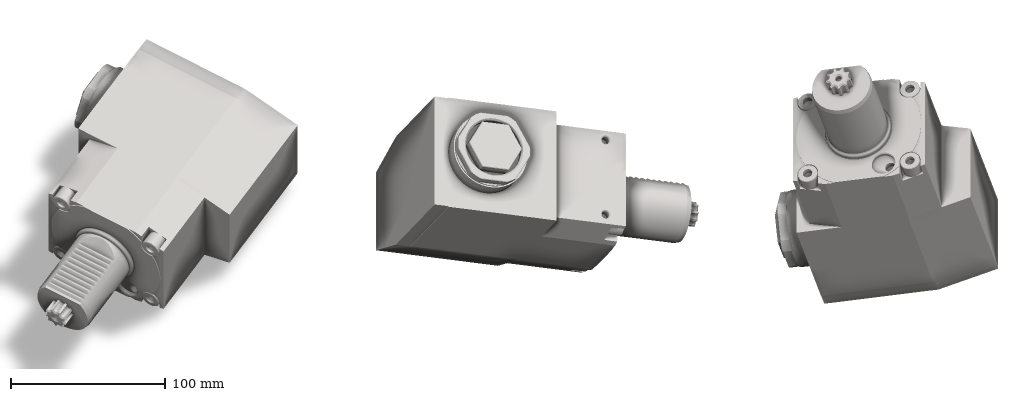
import cadquery as cq
import math


along_x = (1, 0, 0)
along_y = (0, 1, 0)
overall_length = 197.5
overall_width = 136.9

body_left = -52.5
body_right = 63.0
body_rear = 134.5
body_height = 76.0
half_height = body_height / 2
flange_length = 50.5
flange_half_width = 43.8
body_slope_start = 22.0
flange_slope_start = 22.5
slope_angle = 15
rear_strip_width = 9.7
rear_strip_drop = 0.4

face_disc_radius = 41.5
face_disc_height = 0.5
collar_recess_diameter, collar_recess_depth = 44.6, 1.0
port_x, port_z = 16.2, -27.6
port_diameter, port_depth = 15.2, 2
port_mouth_diameter = 16.4
duct_x, duct_z = 20.5, -29.8
duct_diameter, duct_depth = 7.0, 6

screw_x, screw_z = 34.0, 28.2
pocket_width, pocket_depth = 13.8, 8.9
head_diameter, head_chamfer = 13.0, 0.4
socket_diameter, socket_depth = 6.3, 4
socket_tip_depth = 1.8

side_hole_diameter, side_hole_depth = 5.0, 6
side_hole_mouth_diameter = 6.3
side_hole_y, side_hole_z = 13.8, 25.9

collar_diameter, collar_length, collar_round = 43.5, 3.4, 1.2
neck_diameter, neck_end = 38.7, 4.1
shank_diameter, shank_length = 40.0, 53.7
end_chamfer_length, end_chamfer_depth = 3.2, 0.8

valley_height, tooth_height = 14.2, 1.5
tooth_tip, tooth_count = 0.8, 10
first_tooth, last_tooth = 14.0, 50.0
tooth_pitch = (last_tooth - first_tooth) / (tooth_count - 1)
run_in_start = 5.1

spline_diameter, spline_tooth_count = 16.2, 9
spline_end = overall_length - body_rear
spline_groove_diameter, spline_groove_centre = 4.1, 8.5
spline_flare_diameter, spline_flare_length = 6, 1.0
spline_bore_diameter, spline_bore_depth = 4.1, 4
spline_bore_mouth_diameter = 6

spindle_y = 100.0
sleeve_diameter, sleeve_length = 50.5, 11.0
ring_diameter, ring_end = 49.0, 12.2
nut_flats, nut_corner_diameter, nut_end = 46.2, 49.4, 18.2
recess_diameter, recess_depth = 38.0, 5.0
recess_mouth_diameter = 40.0
hexagon_chamfer = 0.4
plug_flats = 31.5
plug_end = overall_width - (body_right - body_left)


def slope_z(x, slope_start):
    """Height at distance x from the shank axis of a side that slopes away from slope_start."""
    return half_height - (x - slope_start) * math.tan(math.radians(slope_angle))


def y_prism(profile, y_from, y_to):
    """Extrude an XZ outline between two Y positions."""
    return cq.Workplane("XZ", origin=(0, y_to, 0)).polyline(profile).close().extrude(y_to - y_from)


def y_cylinder(diameter, y_from, y_to, x=0, z=0):
    plane = cq.Workplane("XZ", origin=(x, y_to, z))
    return plane.circle(diameter / 2).extrude(y_to - y_from)


def cone(mouth_diameter, end_diameter, depth, mouth, direction):
    """Cone that narrows from its mouth point along a direction."""
    solid = cq.Solid.makeCone(
        mouth_diameter / 2, end_diameter / 2, depth, cq.Vector(*mouth), cq.Vector(*direction)
    )
    return cq.Workplane(solid)


def countersink(mouth_diameter, hole_diameter, mouth, direction):
    """45-degree cone that widens the mouth of a hole."""
    depth = (mouth_diameter - hole_diameter) / 2
    return cone(mouth_diameter, hole_diameter, depth, mouth, direction)


def spindle_plane(distance):
    """Plane across the spindle axis, at a distance outside the left wall, facing -X."""
    return cq.Workplane("YZ", origin=(body_left - distance, spindle_y, 0))


def hexagon(flats):
    """Circumscribed diameter of a hexagon from its width across flats."""
    return flats / math.cos(math.radians(30))


def mirrored(upper_right):
    """Complete an outline from its upper points by mirroring them about Z = 0."""
    return upper_right + [(x, -z) for x, z in reversed(upper_right)]


def make_housing():
    body_outline = mirrored([
        (body_left, half_height),
        (body_slope_start, half_height),
        (body_right, slope_z(body_right, body_slope_start)),
    ])
    flange_corner_z = slope_z(flange_half_width, flange_slope_start)
    flange_outline = mirrored([
        (-flange_half_width, flange_corner_z),
        (-flange_slope_start, half_height),
        (flange_slope_start, half_height),
        (flange_half_width, flange_corner_z),
    ])
    body = y_prism(body_outline, flange_length, body_rear)
    for side in (1, -1):
        strip = cq.Workplane("XY").box(
            body_right - body_left, rear_strip_width, rear_strip_drop
        ).translate((
            (body_left + body_right) / 2,
            body_rear - rear_strip_width / 2,
            side * (half_height - rear_strip_drop / 2),
        ))
        body = body.cut(strip)
    flange = y_prism(flange_outline, 0, flange_length)
    disc = y_cylinder(2 * face_disc_radius, -face_disc_height, 0)
    disc = disc.intersect(y_prism(flange_outline, -face_disc_height, 0))
    housing = body.union(flange).union(disc)

    housing = housing.cut(y_cylinder(collar_recess_diameter, -face_disc_height, collar_recess_depth))
    housing = housing.cut(y_cylinder(port_diameter, -face_disc_height, port_depth, port_x, port_z))
    housing = housing.cut(
        countersink(port_mouth_diameter, port_diameter, (port_x, -face_disc_height, port_z), along_y)
    )
    duct = y_cylinder(duct_diameter, 0, duct_depth, duct_x, duct_z)
    duct = duct.intersect(y_cylinder(port_diameter, 0, duct_depth, port_x, port_z))
    housing = housing.cut(duct)

    side_holes = (
        cq.Workplane("YZ", origin=(-flange_half_width, 0, 0))
        .pushPoints([(side_hole_y, side_hole_z), (side_hole_y, -side_hole_z)])
        .circle(side_hole_diameter / 2)
        .extrude(side_hole_depth)
    )
    housing = housing.cut(side_holes)
    for z in (side_hole_z, -side_hole_z):
        mouth = (-flange_half_width, side_hole_y, z)
        housing = housing.cut(countersink(side_hole_mouth_diameter, side_hole_diameter, mouth, along_x))
    return housing


def make_screw_pocket(x, z):
    """Round-bottomed pocket, open towards the top or bottom of the flange."""
    outward = math.copysign(half_height, z)
    pocket = y_cylinder(pocket_width, -face_disc_height, pocket_depth, x, z)
    opening = cq.Workplane("XY").box(
        pocket_width, pocket_depth + face_disc_height, half_height
    ).translate((x, (pocket_depth - face_disc_height) / 2, z + outward / 2))
    return pocket.union(opening)


def make_screw_head(x, z):
    head = y_cylinder(head_diameter, -face_disc_height, pocket_depth, x, z)
    head = head.faces("<Y").chamfer(head_chamfer)
    socket = (
        cq.Workplane("XY", origin=(x, -face_disc_height, z))
        .polyline([
            (0, 0),
            (socket_diameter / 2, 0),
            (socket_diameter / 2, socket_depth),
            (0, socket_depth + socket_tip_depth),
        ])
        .close()
        .revolve(360, (0, 0), (0, 1))
    )
    return head.cut(socket)


def make_toothed_cutter():
    """Material removed above the toothed flat, as a YZ outline swept across the shank."""
    top = shank_diameter
    tip_height = valley_height + tooth_height
    outline = [
        (-run_in_start, top),
        (-run_in_start, shank_diameter / 2),
        (-first_tooth + tooth_pitch / 2, valley_height),
    ]
    for i in range(tooth_count):
        centre = -first_tooth - i * tooth_pitch
        outline += [
            (centre + tooth_tip / 2, tip_height),
            (centre - tooth_tip / 2, tip_height),
            (centre - tooth_pitch / 2, valley_height),
        ]
    outline += [(-shank_length, valley_height), (-shank_length, top)]
    return cq.Workplane("YZ").polyline(outline).close().extrude(shank_diameter, both=True)


def make_shank():
    collar = y_cylinder(collar_diameter, -collar_length, 0).edges().fillet(collar_round)
    neck = y_cylinder(neck_diameter, -neck_end, collar_recess_depth)
    radius = shank_diameter / 2
    rod = (
        cq.Workplane("XY")
        .polyline([
            (0, -neck_end),
            (radius, -neck_end),
            (radius, end_chamfer_length - shank_length),
            (radius - end_chamfer_depth, -shank_length),
            (0, -shank_length),
        ])
        .close()
        .revolve(360, (0, 0), (0, 1))
    )
    return rod.cut(make_toothed_cutter()).union(neck).union(collar)


def make_spline():
    spline = y_cylinder(spline_diameter, -spline_end, -shank_length)
    for i in range(spline_tooth_count):
        angle = math.radians(90 + i * 360 / spline_tooth_count)
        x = spline_groove_centre * math.cos(angle)
        z = spline_groove_centre * math.sin(angle)
        groove = y_cylinder(spline_groove_diameter, -spline_end, -shank_length, x, z)
        flare = cone(
            spline_flare_diameter,
            spline_groove_diameter,
            spline_flare_length,
            (x, -spline_end, z),
            along_y,
        )
        spline = spline.cut(groove).cut(flare)
    spline = spline.cut(y_cylinder(spline_bore_diameter, -spline_end, spline_bore_depth - spline_end))
    bore_mouth = (0, -spline_end, 0)
    return spline.cut(countersink(spline_bore_mouth_diameter, spline_bore_diameter, bore_mouth, along_y))


def make_spindle():
    sleeve = spindle_plane(sleeve_length).circle(sleeve_diameter / 2).extrude(sleeve_length)
    ring = spindle_plane(ring_end).circle(ring_diameter / 2).extrude(ring_end)
    nut = spindle_plane(nut_end).polygon(6, hexagon(nut_flats)).extrude(nut_end - ring_end)
    nut = nut.faces("<X").chamfer(hexagon_chamfer)
    nut = nut.intersect(spindle_plane(nut_end).circle(nut_corner_diameter / 2).extrude(nut_end))
    recess = spindle_plane(nut_end).circle(recess_diameter / 2).extrude(recess_depth)
    recess_mouth = countersink(
        recess_mouth_diameter, recess_diameter, (body_left - nut_end, spindle_y, 0), along_x
    )
    plug = spindle_plane(plug_end).polygon(6, hexagon(plug_flats)).extrude(plug_end)
    plug = plug.faces("<X").chamfer(hexagon_chamfer)
    return sleeve.union(ring).union(nut).cut(recess).cut(recess_mouth).union(plug)


result = make_housing()
for x_side in (1, -1):
    for z_side in (1, -1):
        centre = (x_side * screw_x, z_side * screw_z)
        result = result.cut(make_screw_pocket(*centre))
        result = result.union(make_screw_head(*centre))
result = result.union(make_shank()).union(make_spline()).union(make_spindle())